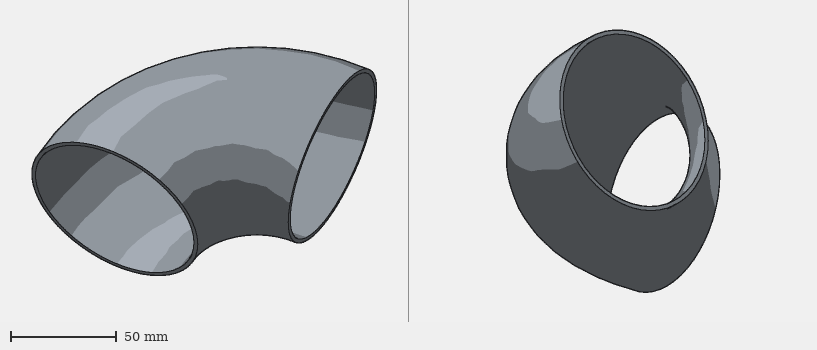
import cadquery as cq

longest_side = 120.5
outer_diameter = 88.9
wall = 2.0
bend_angle = 90.0

outer_radius = outer_diameter / 2
inner_radius = outer_radius - wall
bend_radius = longest_side - outer_radius

pipe_section = (
    cq.Workplane("XZ")
    .center(-bend_radius, 0)
    .circle(outer_radius)
    .circle(inner_radius)
)

axis_start = (bend_radius, 1.2)
axis_end = (bend_radius, 0)
result = pipe_section.revolve(bend_angle, axis_start, axis_end)